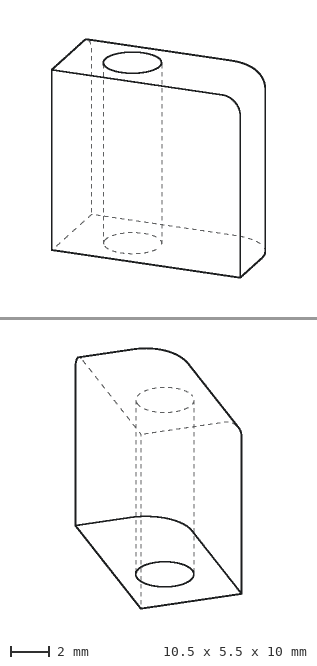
import cadquery as cq

length = 10.5
depth = 5.5
height = 10.0

corner_radius = 2.5
top_edge_radius = 1.0

hole_diameter = 3.0
hole_x = 3.5
hole_y = 2.5

block = cq.Workplane("XY").box(length, depth, height, centered=False)

block = block.edges("|Z").edges(">X and >Y").fillet(corner_radius)

block = block.faces(">Y").edges(">Z").fillet(top_edge_radius)

hole = cq.Workplane("XY").center(hole_x, hole_y).circle(hole_diameter / 2).extrude(height)

result = block.cut(hole)